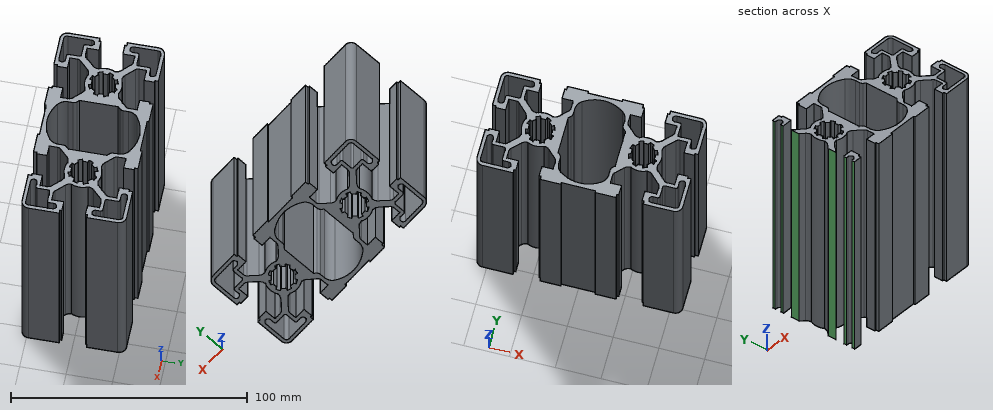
import cadquery as cq

length = 100.0
module = 45.0
width = 2 * module
half = module / 2
core_x = half
corner_radius = 3.3

mouth_half = 5.1
step_half = 5.9
step_depth = 1.5
lip_depth = 6.0
slot_half = 10.3
inner_slot_half = 10.0
floor_half = 5.1
slot_floor_depth = 15.3
slot_shoulder_radius = 2.0
slot_floor_radius = 3.3

boss_radius = 8.0
bore_radius = 5.1
groove_count = 8
groove_width = 2.0
groove_radius = 6.2

wall = 1.6
chamber_corner_radius = 1.5
chamber_tip = 7.7
chamber_edge_radius = 0.8

cavity_end_half = 10.9
cavity_half = 12.5
cavity_bevel_height = 8.3
cavity_side_height = 15.3
cavity_top = 19.9
cavity_side_radius = 5.0
cavity_bevel_radius = 2.0

recess_width = 15.0
recess_depth = 0.8


def prism(outline):
    """Extrude a closed outline over the full length."""
    return outline.extrude(length)


def round_edges(body, places, radius):
    """Fillet the upright edges of body at the given (x, y) places."""
    for x, y in places:
        nearest = cq.selectors.NearestToPointSelector((x, y, length / 2))
        body = body.edges("|Z").edges(nearest).fillet(radius)
    return body


def slot_side(wall_distance):
    """Points down one side of a slot whose chamber reaches wall_distance from its axis."""
    floor_height = half - slot_floor_depth
    shoulder_height = floor_height + wall_distance - floor_half
    return [
        (step_half, half),
        (step_half, half - step_depth),
        (mouth_half, half - step_depth),
        (mouth_half, half - lip_depth),
        (wall_distance, half - lip_depth),
        (wall_distance, shoulder_height),
        (floor_half, floor_height),
    ]


def slot(left_wall, right_wall):
    """T-slot opening toward +Y, its floor raised where the round boss bulges."""
    right_side = slot_side(right_wall)
    left_side = [(-x, y) for x, y in slot_side(left_wall)]
    cut = prism(cq.Workplane("XY").polyline(right_side + left_side[::-1]).close())
    cut = round_edges(cut, [left_side[-2], right_side[-2]], slot_shoulder_radius)
    cut = round_edges(cut, [left_side[-1], right_side[-1]], slot_floor_radius)
    return cut.cut(prism(cq.Workplane("XY").circle(boss_radius)))


def splined_bore():
    """Round bore with radial grooves, cut as crossing bars midway between the axes."""
    bore = prism(cq.Workplane("XY").circle(bore_radius))
    pitch = 360 / groove_count
    for index in range(groove_count // 2):
        groove = prism(cq.Workplane("XY").rect(2 * groove_radius, groove_width))
        bore = bore.union(groove.rotate((0, 0, 0), (0, 0, 1), (index + 0.5) * pitch))
    return bore


def corner_chamber():
    """L-shaped chamber with round arm ends, in the +X +Y corner."""
    outer = half - wall
    arm = half - lip_depth + wall
    inner = slot_half + wall
    arm_radius = (outer - arm) / 2
    arm_middle = (outer + arm) / 2
    arm_end = chamber_tip + arm_radius
    chamber = prism(
        cq.Workplane("XY")
        .moveTo(arm_end, outer)
        .lineTo(outer, outer)
        .lineTo(outer, arm_end)
        .threePointArc((arm_middle, chamber_tip), (arm, arm_end))
        .lineTo(arm, inner)
        .lineTo(inner, inner)
        .lineTo(inner, arm)
        .lineTo(arm_end, arm)
        .threePointArc((chamber_tip, arm_middle), (arm_end, outer))
        .close()
    )
    chamber = round_edges(chamber, [(outer, outer)], chamber_corner_radius)
    chamber = round_edges(chamber, [(arm, inner), (inner, inner), (inner, arm)], chamber_edge_radius)
    return chamber


def central_cavity():
    """Large cavity with straight sides, bevelled to narrower arched ends."""
    bevel_end = cavity_bevel_height + cavity_half - cavity_end_half
    cavity = prism(
        cq.Workplane("XY")
        .moveTo(cavity_half, -cavity_bevel_height)
        .lineTo(cavity_half, cavity_bevel_height)
        .lineTo(cavity_end_half, bevel_end)
        .lineTo(cavity_end_half, cavity_side_height)
        .threePointArc((0, cavity_top), (-cavity_end_half, cavity_side_height))
        .lineTo(-cavity_end_half, bevel_end)
        .lineTo(-cavity_half, cavity_bevel_height)
        .lineTo(-cavity_half, -cavity_bevel_height)
        .lineTo(-cavity_end_half, -bevel_end)
        .lineTo(-cavity_end_half, -cavity_side_height)
        .threePointArc((0, -cavity_top), (cavity_end_half, -cavity_side_height))
        .lineTo(cavity_end_half, -bevel_end)
        .close()
    )
    for x in (cavity_end_half, -cavity_end_half):
        cavity = round_edges(cavity, [(x, cavity_side_height), (x, -cavity_side_height)], cavity_side_radius)
        cavity = round_edges(cavity, [(x, bevel_end), (x, -bevel_end)], cavity_bevel_radius)
    return cavity


profile = prism(cq.Workplane("XY").rect(width, module)).edges("|Z").fillet(corner_radius)

upper_slot = slot(inner_slot_half, slot_half)
end_slot = slot(slot_half, slot_half).rotate((0, 0, 0), (0, 0, 1), -90)
chamber = corner_chamber()
module_cuts = [
    upper_slot,
    upper_slot.mirror("XZ"),
    end_slot,
    chamber,
    chamber.mirror("XZ"),
    splined_bore(),
]
for cut in module_cuts:
    placed = cut.translate((core_x, 0, 0))
    profile = profile.cut(placed)
    profile = profile.cut(placed.mirror("YZ"))

profile = profile.cut(central_cavity())

for face_y in (half, -half):
    profile = profile.cut(prism(cq.Workplane("XY").center(0, face_y).rect(recess_width, 2 * recess_depth)))

result = profile